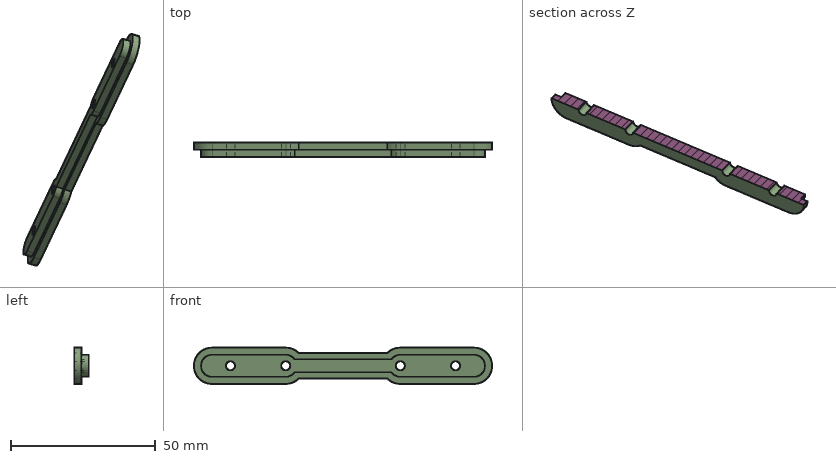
import cadquery as cq

LENGTH = 102.98
HEIGHT = 12.62

FLANGE_THICKNESS = 2.54
LAND_THICKNESS = 2.54
LAND_INSET = 2.5

FLANGE_WEB_HEIGHT = 8.84
LAND_WEB_HEIGHT = 4.57

PAD_CENTRE_DISTANCE = 25.4
HOLE_DIAMETER = 3.05
HOLE_SPACING = 19.05

flange_radius = HEIGHT / 2
land_radius = flange_radius - LAND_INSET
outer_arc_x = LENGTH / 2 - flange_radius
inner_arc_x = outer_arc_x - PAD_CENTRE_DISTANCE
pad_centre_x = (outer_arc_x + inner_arc_x) / 2
total_thickness = FLANGE_THICKNESS + LAND_THICKNESS


def dumbbell(end_radius, web_height, thickness, back_y):
    """Two slot-shaped pads joined by a web, extruded toward -Y from back_y."""
    plane = cq.Workplane("XZ", origin=(0, back_y, 0))
    pads = (
        plane.pushPoints([(-pad_centre_x, 0), (pad_centre_x, 0)])
        .slot2D(PAD_CENTRE_DISTANCE + 2 * end_radius, 2 * end_radius)
        .extrude(thickness)
    )
    web = plane.rect(2 * inner_arc_x, web_height).extrude(thickness)
    return pads.union(web)


def screw_holes():
    """Through holes: one at each pad's inner arc centre and one further out."""
    inner_hole_x = inner_arc_x
    outer_hole_x = inner_arc_x + HOLE_SPACING
    centres = [(side * x, 0) for side in (-1, 1) for x in (inner_hole_x, outer_hole_x)]
    return (
        cq.Workplane("XZ", origin=(0, total_thickness, 0))
        .pushPoints(centres)
        .circle(HOLE_DIAMETER / 2)
        .extrude(total_thickness)
    )


flange = dumbbell(flange_radius, FLANGE_WEB_HEIGHT, FLANGE_THICKNESS, total_thickness)
land = dumbbell(land_radius, LAND_WEB_HEIGHT, LAND_THICKNESS, LAND_THICKNESS)

result = flange.union(land).cut(screw_holes())